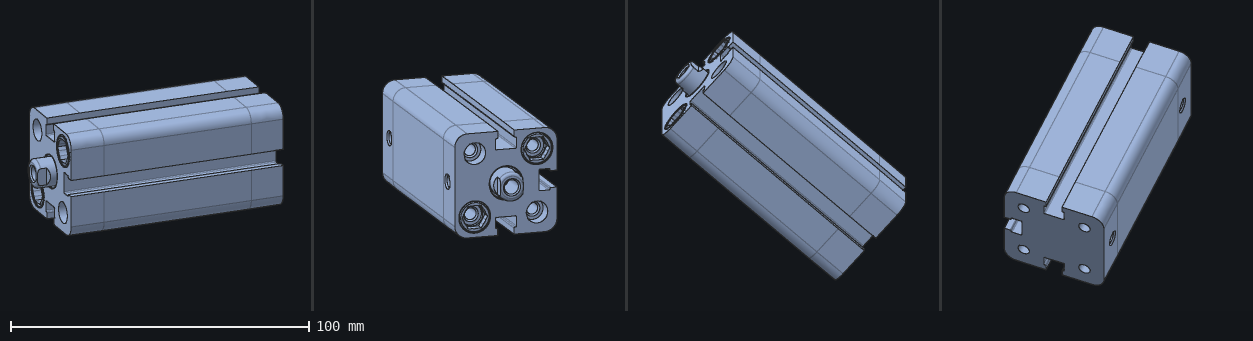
import cadquery as cq
import math


side = 36.3
corner_radius = 4.4
overall_length = 83.6
rod_reach = 6.35
body_length = overall_length - rod_reach
front_cap_length = 11.95
rear_cap_length = 11.7
cap_draft_inset = 0.1

slot_mouth_width = 5.8
slot_inner_width = 7.35
slot_floor_offset = 11.7
slot_lip_offset = 15.55
slot_corner_radius = 0.3
slot_overrun = 1.7
slot_angles = (0, 90, 180)

hole_pitch = 22.0
through_diameter = 4.1
counterbore_diameter = 7.5
counterbore_depth = 5.0
countersink_diameter = 5.3

screw_signs = ((1, 1), (-1, -1))
screw_recess_diameter = 11.1
screw_head_diameter = 10.8
screw_face_diameter = 10.0
screw_groove_depth = (screw_head_diameter - screw_face_diameter) / 2
hex_across_corners = 9.0
hex_relief_diameter = 8.0
hex_depth = 3.0
screw_socket_depth = 4.35

rod_diameter = 10.0
rod_edge_radius = 1.2
flat_width = 8.0
flat_length = 3.35
thread_diameter = 4.9
thread_mouth_diameter = 6.0
thread_depth = 11.7
thread_floor_diameter = 4.1
rod_gap_diameter = 11.4
rod_gap_mouth_diameter = 11.9
rod_gap_depth = 2.0

port_front_offset = 7.8
port_rear_offset = 7.5
port_diameter = 4.1
port_mouth_diameter = 5.3
port_depth = 5.0
orifice_diameter = 1.75
orifice_depth = 2.5


def turned(profile):
    """Revolve (radius, depth) points about +Y; depth grows towards +Y."""
    return cq.Workplane("XY").polyline(profile).close().revolve(360, (0, 0, 0), (0, 1, 0))


def bore(steps):
    """Turned hole cutter whose (diameter, depth) steps run inwards from the mouth."""
    wall = [(diameter / 2, depth) for diameter, depth in steps]
    return turned([(0, steps[0][1])] + wall + [(0, steps[-1][1])])


def chamfer_depth(mouth, inner):
    """Depth of a 45 degree chamfer between two diameters."""
    return (mouth - inner) / 2


def rounded_block(start, length, direction, inset=0):
    """Rounded square bar from Y = start, leaning in by inset at its far end."""
    outline = cq.Sketch().rect(side, side).vertices().fillet(corner_radius)
    plane = cq.Plane(origin=(0, start, 0), xDir=(1, 0, 0), normal=(0, direction, 0))
    taper = math.degrees(math.atan2(inset, length))
    return cq.Workplane(plane).placeSketch(outline).extrude(length, taper=taper)


def housing():
    """Straight tube with a slightly drafted cap at each end."""
    tube_end = body_length - rear_cap_length
    tube = rounded_block(front_cap_length, tube_end - front_cap_length, 1)
    front_cap = rounded_block(front_cap_length, front_cap_length, -1, cap_draft_inset)
    rear_cap = rounded_block(tube_end, rear_cap_length, 1, cap_draft_inset)
    return tube.union(front_cap).union(rear_cap)


def slot_cutter(angle):
    """T-slot along the whole housing, turned from the +Z side by angle about Y."""
    half_inner = slot_inner_width / 2
    half_mouth = slot_mouth_width / 2
    outside = side / 2 + slot_overrun
    profile = [
        (-half_inner, slot_floor_offset),
        (half_inner, slot_floor_offset),
        (half_inner, slot_lip_offset),
        (half_mouth, slot_lip_offset),
        (half_mouth, outside),
        (-half_mouth, outside),
        (-half_mouth, slot_lip_offset),
        (-half_inner, slot_lip_offset),
    ]
    slot = cq.Workplane("XZ").polyline(profile).close().extrude(-body_length)
    return slot.edges("|Y").fillet(slot_corner_radius).rotate((0, 0, 0), (0, 1, 0), angle)


def mounting_hole(floor_depth):
    """Through hole whose counterbore floor is countersunk around it."""
    return bore([
        (counterbore_diameter, 0),
        (counterbore_diameter, floor_depth),
        (countersink_diameter, floor_depth),
        (through_diameter, floor_depth + chamfer_depth(countersink_diameter, through_diameter)),
        (through_diameter, body_length),
    ])


def screw_head_cutter():
    """Groove around a flush screw head, with the relieved hexagon socket inside it."""
    groove = turned([
        (screw_face_diameter / 2, 0),
        (screw_recess_diameter / 2, 0),
        (screw_recess_diameter / 2, screw_groove_depth),
        (screw_head_diameter / 2, screw_groove_depth),
    ])
    hexagon = cq.Workplane("XZ").polygon(6, hex_across_corners).extrude(-hex_depth)
    relief = bore([(hex_relief_diameter, 0), (hex_relief_diameter, hex_depth)])
    return groove.union(hexagon).union(relief)


def rod_gap():
    """Chamfered recess that leaves a ring-shaped gap around the rod."""
    mouth = chamfer_depth(rod_gap_mouth_diameter, rod_gap_diameter)
    return bore([
        (rod_gap_mouth_diameter, 0),
        (rod_gap_diameter, mouth),
        (rod_gap_diameter, rod_gap_depth),
    ])


def piston_rod():
    """Rod from its tip to the floor of the gap, with two opposite flats."""
    rod = cq.Workplane("XZ", origin=(0, rod_gap_depth, 0)).circle(rod_diameter / 2)
    rod = rod.extrude(rod_reach + rod_gap_depth).faces("<Y").edges().fillet(rod_edge_radius)

    radius = rod_diameter / 2
    half_flat = flat_width / 2
    flat_end = flat_length - rod_reach
    flat_cut_profile = [
        (half_flat, -rod_reach),
        (half_flat, flat_end),
        (radius, flat_end + radius - half_flat),
        (radius, -rod_reach),
    ]
    flat_cut = cq.Workplane("XY").polyline(flat_cut_profile).close().extrude(radius, both=True)
    return rod.cut(flat_cut).cut(flat_cut.mirror("YZ"))


def thread_hole():
    """Blind hole in the rod tip with chamfered mouth and tapered end."""
    floor_taper = chamfer_depth(thread_diameter, thread_floor_diameter)
    return bore([
        (thread_mouth_diameter, 0),
        (thread_diameter, chamfer_depth(thread_mouth_diameter, thread_diameter)),
        (thread_diameter, thread_depth - floor_taper),
        (thread_floor_diameter, thread_depth),
    ]).translate((0, -rod_reach, 0))


def port_cutter(y):
    """Air port entering from the -X side, with a small orifice in its floor."""
    port = bore([
        (port_mouth_diameter, 0),
        (port_diameter, chamfer_depth(port_mouth_diameter, port_diameter)),
        (port_diameter, port_depth),
        (orifice_diameter, port_depth),
        (orifice_diameter, port_depth + orifice_depth),
    ])
    return port.rotate((0, 0, 0), (0, 0, 1), -90).translate((-side / 2, y, 0))


result = housing()

for angle in slot_angles:
    result = result.cut(slot_cutter(angle))

half_pitch = hole_pitch / 2
for x_sign in (-1, 1):
    for z_sign in (-1, 1):
        place = (x_sign * half_pitch, 0, z_sign * half_pitch)
        has_screw = (x_sign, z_sign) in screw_signs
        floor_depth = screw_socket_depth if has_screw else counterbore_depth
        result = result.cut(mounting_hole(floor_depth).translate(place))
        if has_screw:
            result = result.cut(screw_head_cutter().translate(place))

result = result.cut(rod_gap()).union(piston_rod()).cut(thread_hole())

for port_y in (port_front_offset, body_length - port_rear_offset):
    result = result.cut(port_cutter(port_y))